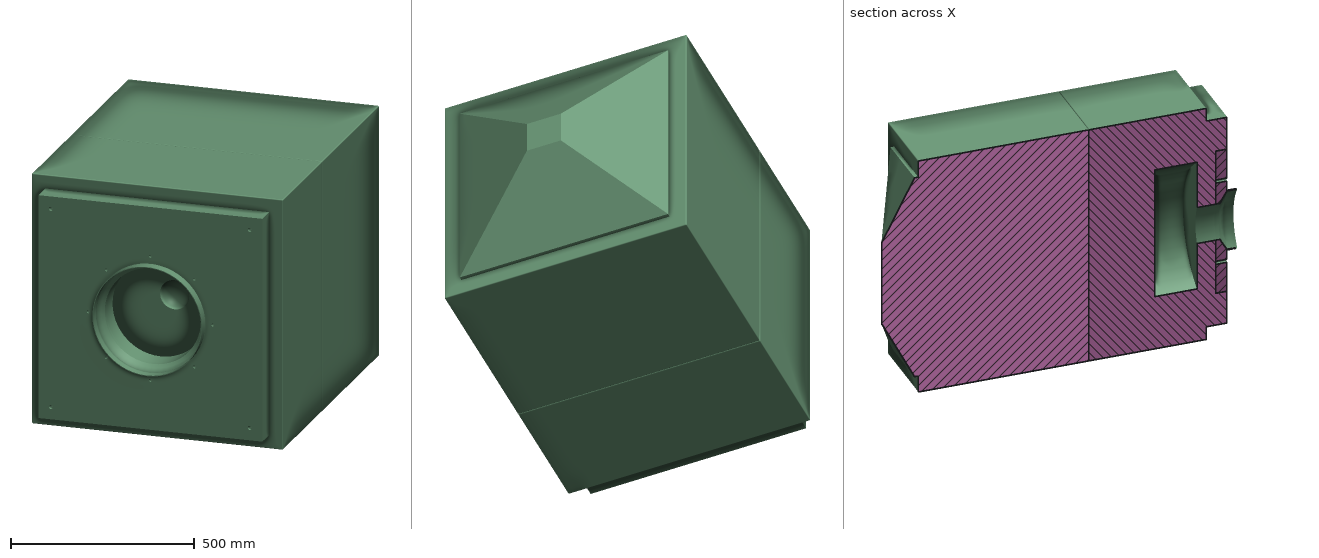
import cadquery as cq

CASING_SIDE = 720.0
FRONT_BOX_DEPTH = 342.0
REAR_BOX_DEPTH = 498.0
EDGE_RADIUS = 3.0

PLATE_SIDE = 641.0
PLATE_THICKNESS = 60.0
MOUNT_HOLE_SPACING = 570.0
MOUNT_HOLE_DIAMETER = 12.0

FLANGE_SIDE = 440.0
SPIGOT_LENGTH = 29.0
SPIGOT_DIAMETER = 314.0
MOUTH_DIAMETER = 310.0
THROAT_DIAMETER = 275.0
CONE_DEPTH = 20.0
FLANGE_THICKNESS = 32.0
SCREW_HOLE_COUNT = 8
SCREW_CIRCLE_DIAMETER = 357.0
SCREW_HOLE_DIAMETER = 8.1

CHAMBER_DIAMETER = 467.0
CHAMBER_START = 28.0
CHAMBER_FLOOR = 151.0
DIMPLE_RADIUS = 42.0

HOOD_BASE_SIDE = 620.0
HOOD_BASE_DEPTH = 11.0
HOOD_TIP_SIDE = 101.0
OVERALL_LENGTH = 1076.0

CASING_FRONT = 0.0
PLATE_FRONT = CASING_FRONT - PLATE_THICKNESS
SPIGOT_FRONT = PLATE_FRONT - SPIGOT_LENGTH
FLANGE_BACK = PLATE_FRONT + FLANGE_THICKNESS
CASING_JOINT = CASING_FRONT + FRONT_BOX_DEPTH
CASING_BACK = CASING_JOINT + REAR_BOX_DEPTH
HOOD_BASE_BACK = CASING_BACK + HOOD_BASE_DEPTH
HOOD_TIP = SPIGOT_FRONT + OVERALL_LENGTH


def section(y):
    """Work plane across the Y axis at the given station, facing +Y."""
    return cq.Workplane(cq.Plane(origin=(0, y, 0), xDir=(0, 0, -1), normal=(0, 1, 0)))


def square_block(side, y, depth):
    return section(y).rect(side, side).extrude(depth)


def cylinder(diameter, y, depth):
    return section(y).circle(diameter / 2).extrude(depth)


def casing_box(y, depth):
    return square_block(CASING_SIDE, y, depth).edges().fillet(EDGE_RADIUS)


def make_rear_housing():
    box = casing_box(CASING_JOINT, REAR_BOX_DEPTH)
    base = square_block(HOOD_BASE_SIDE, CASING_BACK, HOOD_BASE_DEPTH)
    pyramid = (
        section(HOOD_BASE_BACK)
        .rect(HOOD_BASE_SIDE, HOOD_BASE_SIDE)
        .workplane(offset=HOOD_TIP - HOOD_BASE_BACK)
        .rect(HOOD_TIP_SIDE, HOOD_TIP_SIDE)
        .loft(ruled=True)
    )
    return box.union(base).union(pyramid)


def make_front_housing():
    box = casing_box(CASING_FRONT, FRONT_BOX_DEPTH)
    plate = square_block(PLATE_SIDE, PLATE_FRONT, PLATE_THICKNESS)
    flange_opening = square_block(FLANGE_SIDE, PLATE_FRONT, FLANGE_THICKNESS)
    throat = cylinder(THROAT_DIAMETER, FLANGE_BACK, CHAMBER_START - FLANGE_BACK)
    chamber = cylinder(CHAMBER_DIAMETER, CHAMBER_START, CHAMBER_FLOOR - CHAMBER_START)
    dimple = cq.Workplane("XY").sphere(DIMPLE_RADIUS).translate((0, CHAMBER_FLOOR, 0))
    mount_holes = (
        section(PLATE_FRONT)
        .rect(MOUNT_HOLE_SPACING, MOUNT_HOLE_SPACING, forConstruction=True)
        .vertices()
        .circle(MOUNT_HOLE_DIAMETER / 2)
        .extrude(PLATE_THICKNESS)
    )
    return box.union(plate).cut(flange_opening).cut(throat).cut(chamber).cut(dimple).cut(mount_holes)


def make_inlet():
    flange = square_block(FLANGE_SIDE, PLATE_FRONT, FLANGE_THICKNESS)
    spigot = cylinder(SPIGOT_DIAMETER, SPIGOT_FRONT, SPIGOT_LENGTH)
    mouth = cylinder(MOUTH_DIAMETER, SPIGOT_FRONT, SPIGOT_LENGTH)
    cone = (
        section(PLATE_FRONT)
        .circle(MOUTH_DIAMETER / 2)
        .workplane(offset=CONE_DEPTH)
        .circle(THROAT_DIAMETER / 2)
        .loft(ruled=True)
    )
    throat = cylinder(THROAT_DIAMETER, PLATE_FRONT, FLANGE_THICKNESS)
    screw_holes = (
        section(PLATE_FRONT)
        .polarArray(SCREW_CIRCLE_DIAMETER / 2, 0, 360, SCREW_HOLE_COUNT)
        .circle(SCREW_HOLE_DIAMETER / 2)
        .extrude(FLANGE_THICKNESS)
    )
    return flange.union(spigot).cut(mouth).cut(cone).cut(throat).cut(screw_holes)


rear_housing = make_rear_housing()
front_housing = make_front_housing()
inlet = make_inlet()

result = cq.Compound.makeCompound([rear_housing.val(), front_housing.val(), inlet.val()])